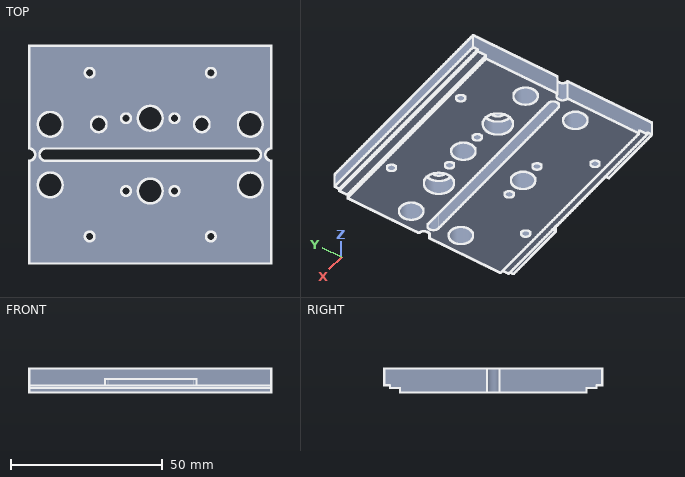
import cadquery as cq

LENGTH = 80.0
WIDTH = 72.0
THICKNESS = 8.0

OUTER_STEP_INSET = 1.9
OUTER_STEP_HEIGHT = 2.4
INNER_STEP_INSET = 5.2
INNER_STEP_HEIGHT = 1.5

SLOT_LENGTH = 73.0
SLOT_WIDTH = 4.0
NOTCH_DIAMETER = SLOT_WIDTH

RECESS_LENGTH = 30.3
RECESS_CENTRE_X = 0.15
RECESS_HEIGHT = 2.1
RECESS_DEPTH = 2.5
RECESS_CORNER_RADIUS = 1.0

LARGE_DIAMETER = 8.1
MEDIUM_DIAMETER = 5.1
SMALL_DIAMETER = 3.1
OUTER_HOLE_X = 33.0
OUTER_HOLE_Y = 10.0
CENTRE_HOLE_Y = 12.0
FLANKING_HOLE_X = 8.0
CORNER_HOLE_X = 20.0
CORNER_HOLE_Y = 27.0
MEDIUM_HOLE_X = 17.0
MEDIUM_HOLE_Y = OUTER_HOLE_Y
COUNTERBORE_DIAMETER = 10.0
COUNTERBORE_DEPTH = 6.0


def mirrored(x, y):
    """Four points placed symmetrically about both the X and Y axes."""
    return [(sx * x, sy * y) for sx in (-1, 1) for sy in (-1, 1)]


def stepped_plate():
    """Union of three slabs with a common top, each narrower one reaching further down."""
    plate = None
    for inset, bottom in (
        (0.0, OUTER_STEP_HEIGHT),
        (OUTER_STEP_INSET, INNER_STEP_HEIGHT),
        (INNER_STEP_INSET, 0.0),
    ):
        slab = (
            cq.Workplane("XY", origin=(0, 0, bottom))
            .rect(LENGTH, WIDTH - 2 * inset)
            .extrude(THICKNESS - bottom)
        )
        plate = slab if plate is None else plate.union(slab)
    return plate


def round_holes(points, diameter, depth=THICKNESS):
    """Round cutters rising from the underside, through the full thickness by default."""
    return cq.Workplane("XY").pushPoints(points).circle(diameter / 2).extrude(depth)


def central_slot():
    """Long round-ended slot through the full thickness."""
    return cq.Workplane("XY").slot2D(SLOT_LENGTH, SLOT_WIDTH).extrude(THICKNESS)


def front_recess():
    """Shallow recess open to the front edge, with rounded inner corners."""
    return (
        cq.Workplane("XY", origin=(RECESS_CENTRE_X, -WIDTH / 2, OUTER_STEP_HEIGHT))
        .rect(RECESS_LENGTH, 2 * RECESS_DEPTH)
        .extrude(RECESS_HEIGHT)
        .edges("|Z and >Y")
        .fillet(RECESS_CORNER_RADIUS)
    )


end_notches = [(-LENGTH / 2, 0), (LENGTH / 2, 0)]
medium_holes = [(-MEDIUM_HOLE_X, MEDIUM_HOLE_Y), (MEDIUM_HOLE_X, MEDIUM_HOLE_Y)]
centre_holes = [(0, -CENTRE_HOLE_Y), (0, CENTRE_HOLE_Y)]

result = (
    stepped_plate()
    .cut(central_slot())
    .cut(front_recess())
    .cut(round_holes(end_notches, NOTCH_DIAMETER))
    .cut(round_holes(mirrored(OUTER_HOLE_X, OUTER_HOLE_Y), LARGE_DIAMETER))
    .cut(round_holes(centre_holes, LARGE_DIAMETER))
    .cut(round_holes(medium_holes, MEDIUM_DIAMETER))
    .cut(round_holes(medium_holes, COUNTERBORE_DIAMETER, COUNTERBORE_DEPTH))
    .cut(round_holes(mirrored(FLANKING_HOLE_X, CENTRE_HOLE_Y), SMALL_DIAMETER))
    .cut(round_holes(mirrored(CORNER_HOLE_X, CORNER_HOLE_Y), SMALL_DIAMETER))
)